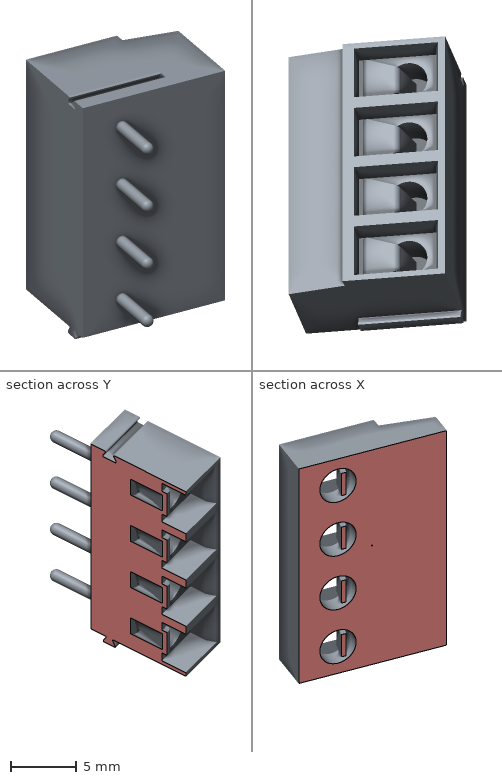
import cadquery as cq
import math

poles = 4
housing_length = 20.0
housing_depth = 9.0
housing_width = 12.5
pitch = housing_length / poles
step_y = 8.0
step_x = 0.85
slope_top_x = 1.61

pocket_height = 4.1
pocket_low_y = 0.54
pocket_high_y = 7.11
pocket_depth = 2.23
lead_in_width = 0.29
lead_in_depth = 0.79

hole_y = 3.3
hole_radius = 1.5
hole_depth = 2.98

sheet = 0.43
contact_high_y = 6.82
bend_y = 3.89
leg_tip_y = 3.18
contact_width = 3.72
leg_width = 2.1
taper_start_y = 6.43
taper_end_y = 3.97

pin_y = 3.41
pin_radius = 0.5
pin_length = 4.5

dovetail_x = 7.22
dovetail_height = 0.68
dovetail_neck = 0.33
dovetail_base = 0.58
dovetail_mouth = 0.5
neck_depth = 0.08
base_thickness = 0.17

pocket_floor_x = pocket_depth
hole_floor_x = pocket_depth + hole_depth
pole_heights = [pitch * (index + 0.5) for index in range(poles)]


def make_housing():
    return (
        cq.Workplane("XY")
        .polyline([
            (0, 0),
            (housing_depth, 0),
            (housing_depth, housing_width),
            (slope_top_x, housing_width),
            (step_x, step_y),
            (0, step_y),
        ])
        .close()
        .extrude(housing_length)
    )


def make_pocket(z):
    pocket = (
        cq.Workplane("XY", origin=(0, 0, z))
        .polyline([
            (0, pocket_low_y),
            (lead_in_depth, pocket_low_y + lead_in_width),
            (pocket_floor_x, pocket_low_y + lead_in_width),
            (pocket_floor_x, pocket_high_y),
            (0, pocket_high_y),
        ])
        .close()
        .extrude(pocket_height / 2, both=True)
    )
    hole = (
        cq.Workplane("YZ", origin=(pocket_floor_x, hole_y, z))
        .circle(hole_radius)
        .extrude(hole_depth)
    )
    return pocket.union(hole)


def make_contact(z):
    top_x = pocket_floor_x - sheet
    bulge = sheet * math.sqrt(0.5)
    side_profile = (
        cq.Workplane("XY", origin=(0, 0, z))
        .moveTo(pocket_floor_x, contact_high_y)
        .threePointArc(
            (pocket_floor_x - bulge, contact_high_y - sheet + bulge),
            (top_x, contact_high_y - sheet),
        )
        .lineTo(top_x, bend_y + sheet)
        .threePointArc(
            (pocket_floor_x - bulge, bend_y + sheet - bulge),
            (pocket_floor_x, bend_y),
        )
        .lineTo(hole_floor_x, leg_tip_y)
        .lineTo(hole_floor_x, leg_tip_y + sheet)
        .lineTo(pocket_floor_x, bend_y + sheet)
        .close()
        .extrude(contact_width / 2, both=True)
    )
    wide = contact_width / 2
    narrow = leg_width / 2
    outline = (
        cq.Workplane("YZ", origin=(top_x, 0, z))
        .polyline([
            (contact_high_y, wide),
            (taper_start_y, wide),
            (taper_end_y, narrow),
            (leg_tip_y, narrow),
            (leg_tip_y, -narrow),
            (taper_end_y, -narrow),
            (taper_start_y, -wide),
            (contact_high_y, -wide),
        ])
        .close()
        .extrude(hole_floor_x - top_x)
    )
    return side_profile.intersect(outline)


def make_pin(z):
    shaft_end = housing_depth + pin_length - pin_radius
    bulge = pin_radius * math.sqrt(0.5)
    return (
        cq.Workplane("XY", origin=(0, pin_y, z))
        .moveTo(housing_depth, 0)
        .lineTo(housing_depth, -pin_radius)
        .lineTo(shaft_end, -pin_radius)
        .threePointArc((shaft_end + bulge, -bulge), (shaft_end + pin_radius, 0))
        .close()
        .revolve(360, (0, 0, 0), (1, 0, 0))
    )


def make_dovetail(z):
    """Dovetail bar hanging below height z, used for the rail and for cutting the groove."""
    shoulder_z = base_thickness - dovetail_height
    return (
        cq.Workplane("XZ", origin=(dovetail_x, 0, z))
        .polyline([
            (-dovetail_neck, 0),
            (-dovetail_neck, -neck_depth),
            (-dovetail_base, shoulder_z),
            (-dovetail_base, -dovetail_height),
            (dovetail_base, -dovetail_height),
            (dovetail_base, shoulder_z),
            (dovetail_neck, -neck_depth),
            (dovetail_neck, 0),
        ])
        .close()
        .extrude(-step_y)
    )


def make_groove_lips(z):
    """Cutter that rounds both lips of the groove, tangent to the top face."""
    flare = dovetail_mouth - dovetail_neck
    lip_radius = (flare**2 + neck_depth**2) / (2 * neck_depth)
    half_angle = math.asin(flare / lip_radius) / 2
    mid_x = dovetail_mouth - lip_radius * math.sin(half_angle)
    mid_z = -lip_radius * (1 - math.cos(half_angle))
    return (
        cq.Workplane("XZ", origin=(dovetail_x, 0, z))
        .moveTo(-dovetail_mouth, 0)
        .threePointArc((-mid_x, mid_z), (-dovetail_neck, -neck_depth))
        .lineTo(dovetail_neck, -neck_depth)
        .threePointArc((mid_x, mid_z), (dovetail_mouth, 0))
        .close()
        .extrude(-step_y)
    )


result = make_housing()
result = result.cut(make_dovetail(housing_length))
result = result.cut(make_groove_lips(housing_length))
result = result.union(make_dovetail(0))
for pole_z in pole_heights:
    result = result.cut(make_pocket(pole_z))
    result = result.union(make_contact(pole_z))
    result = result.union(make_pin(pole_z))